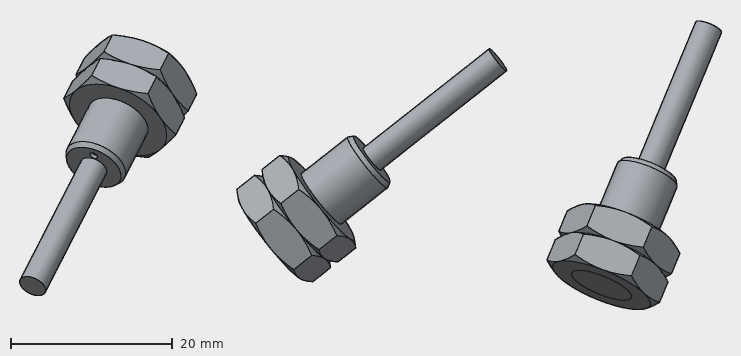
import cadquery as cq
import math

total_length = 36.0

nut_count = 2
nut_across_flats = 13.0
nut_thickness = 4.0
nut_chamfer_angle = 30.0
nut_across_corners = nut_across_flats / math.cos(math.radians(30))

barrel_diameter = 8.0
barrel_exposed_length = 8.0
barrel_length = nut_count * nut_thickness + barrel_exposed_length
barrel_chamfer_length = 0.65
barrel_chamfer_depth = 0.35
cable_diameter = 3.5

pinhole_diameter = 1.0
pinhole_offset = 2.38
pinhole_depth = pinhole_diameter / 2


def axial_plane(y):
    """Plane across the axis at y, with its normal toward -Y and its local Y along Z."""
    return cq.Plane(origin=(0, y, 0), xDir=(1, 0, 0), normal=(0, -1, 0))


def make_nut(back_y):
    """Hexagonal nut with corners chamfered at both ends and a bore fitting the barrel."""
    plane = axial_plane(back_y)
    hexagon = cq.Workplane(plane).polygon(6, nut_across_corners).extrude(nut_thickness)
    flat_radius = nut_across_flats / 2
    corner_radius = nut_across_corners / 2
    chamfer_length = (corner_radius - flat_radius) * math.tan(math.radians(nut_chamfer_angle))
    chamfer_envelope = (
        cq.Workplane("XY")
        .moveTo(0, back_y)
        .lineTo(flat_radius, back_y)
        .lineTo(corner_radius, back_y - chamfer_length)
        .lineTo(corner_radius, back_y - nut_thickness + chamfer_length)
        .lineTo(flat_radius, back_y - nut_thickness)
        .lineTo(0, back_y - nut_thickness)
        .close()
        .revolve(360, (0, 0, 0), (0, 1, 0))
    )
    bore = cq.Workplane(plane).circle(barrel_diameter / 2).extrude(nut_thickness)
    return hexagon.intersect(chamfer_envelope).cut(bore)


def make_sensor():
    """Barrel and cable as one body, with a small blind hole beside the cable."""
    barrel = (
        cq.Workplane(axial_plane(0))
        .circle(barrel_diameter / 2)
        .extrude(barrel_length)
        .faces("<Y")
        .edges()
        .chamfer(barrel_chamfer_length, barrel_chamfer_depth)
    )
    cable = (
        cq.Workplane(axial_plane(-barrel_length))
        .circle(cable_diameter / 2)
        .extrude(total_length - barrel_length)
    )
    pinhole = (
        cq.Workplane(axial_plane(-barrel_length))
        .center(0, pinhole_offset)
        .circle(pinhole_diameter / 2)
        .extrude(-pinhole_depth)
    )
    return barrel.union(cable).cut(pinhole)


sensor = make_sensor()
nuts = [make_nut(-index * nut_thickness) for index in range(nut_count)]

result = cq.Compound.makeCompound([sensor.val(), *[nut.val() for nut in nuts]])